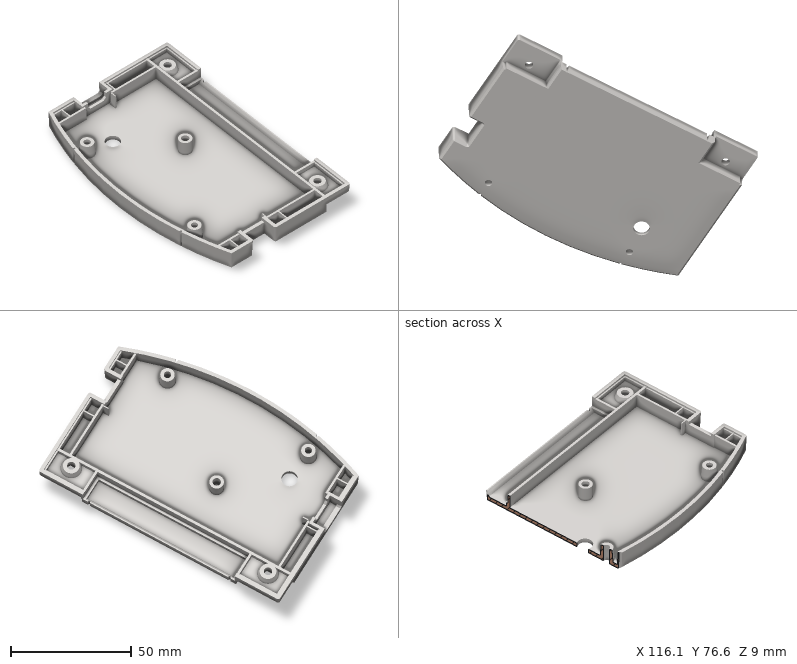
import cadquery as cq
import math

WIDTH = 116.1
DEPTH = 76.6
HEIGHT = 9.0
CORNER_Y = 10.9
DRAFT = 2
CORNER_RADIUS = 0.9
BOTTOM_CHAMFER = 0.8

FLOOR = 2.1
RIM_THICKNESS = 1.6
INNER_TOP = 8.5
LEDGE_WIDTH = 0.7
LEDGE_TOP = 8.2
RIGHT_NOTCH_X = 51.2
RIGHT_NOTCH_Y = (23.2, 35.0)
NOTCH_WALL_TOP = 7.4

SIDE_WALL_X = 50.4
SIDE_WALL_BASE = 1.4
CROSS_WALL_Y = (63.2, 64.3)
RIB_BASE = 1.0
LEFT_RIBS_Y = (41.5, 16.4)
RIGHT_RIBS_Y = (43.2, 16.4)
TAB_LENGTH = 2.5
TAB_THICKNESS = 0.9
LEFT_TAB_Y = 38.8
RIGHT_TAB_Y = 37.2

CORNER_FLOOR = 6.2
CORNER_CEILING = 5.1
CORNER_WALL = 1.0
RECESS_INNER_X = 37.2
RECESS_FLARE = 0.5
RECESS_FLARE_Z = (3.3, 4.4)
RECESS_SIDE_Y = 63.5

STRIP_TOP = 4.1
STRIP_HALF_WIDTH = 36.7
STRIP_POCKET_HALF_WIDTH = 35.5
STRIP_POCKET_Y = (65.4, 74.4)
STRIP_BACK_SLOPE = 0.7
STRIP_BACK_SLOPE_TOP = 3.1
STRIP_BACK_EDGE_Y = 75.9

LEFT_RECESS_Y = (24.8, 38.9)
LEFT_SILL_TOP = 3.5
LEFT_RECESS_X = 52.4
LEFT_RECESS_CHAMFER = 0.8
LEFT_SILL_THICKNESS = 2.3
LEFT_PARTITION = 1.3
LEFT_WINDOW_Y = (26.8, 36.7)
LEFT_WINDOW_SILL = 5.3
LEFT_WINDOW_CHAMFER = 1.3

FRONT_POST_X = 34.0
FRONT_POST_Y = 11.4
FRONT_POST_TOP = 8.2
FRONT_POST_BASE = 7.2
FRONT_POST_DIAMETER = 6.0
FRONT_POST_HOLE = 3.0
CORNER_BOSS_X = 47.5
CORNER_BOSS_Y = 67.6
CORNER_BOSS_TOP = 8.8
CORNER_BOSS_DIAMETER = 7
CORNER_BOSS_BASE = 9.0
CORNER_BOSS_HOLE = 3.5
PIN_CENTRE = (-8.5, 43.3)
PIN_DIAMETER = 6.0
PIN_HOLE = 3.5
PIN_TOP = 8.8
CABLE_HOLE_CENTRE = (-32.4, 24.2)
CABLE_HOLE_DIAMETER = 6.9

GROOVE_X = 33.9
GROOVE_WIDTH = 1.5
GROOVE_ROOT = 0.6
GROOVE_DEPTH = 0.9
GROOVE_OVERRUN = 1.2

HALF = WIDTH / 2
LEAN = math.tan(math.radians(DRAFT))
BOW_RADIUS = (HALF**2 + CORNER_Y**2) / (2 * CORNER_Y)


def bow_y(x):
    """Y of the bowed front at a given X."""
    return BOW_RADIUS - math.sqrt(BOW_RADIUS**2 - x**2)


def block(x_range, y_range, z_range):
    """Plain box between the given limits; the X limits may come in either order."""
    x0, x1 = sorted(x_range)
    y0, y1 = y_range
    z0, z1 = z_range
    return cq.Workplane("XY").box(x1 - x0, y1 - y0, z1 - z0, centered=False).translate((x0, y0, z0))


def drafted_wall(x_range, y_range, z_range):
    """Wall that is full size at its base and gets thinner upward."""
    x0, x1 = sorted(x_range)
    y0, y1 = y_range
    z0, z1 = z_range
    return (
        cq.Workplane("XY", origin=((x0 + x1) / 2, (y0 + y1) / 2, z0))
        .rect(x1 - x0, y1 - y0)
        .extrude(z1 - z0, taper=DRAFT)
    )


def post(centre, diameter, z_range):
    """Straight round post, also used for holes."""
    z0, z1 = z_range
    return cq.Workplane("XY", origin=(*centre, z0)).circle(diameter / 2).extrude(z1 - z0)


def cone_post(centre, base_diameter, top_diameter, z_range):
    """Round post that narrows from its base to its top."""
    z0, z1 = z_range
    return (
        cq.Workplane("XY", origin=(*centre, z0))
        .circle(base_diameter / 2)
        .workplane(offset=z1 - z0)
        .circle(top_diameter / 2)
        .loft()
    )


def drafted_tray(inset, depth):
    """Solid below the rim outline moved inward by the inset, narrowing downward from the top."""
    y0, y1 = RIGHT_NOTCH_Y
    rim = (
        cq.Workplane("XY")
        .moveTo(-HALF, CORNER_Y)
        .threePointArc((0, 0), (HALF, CORNER_Y))
        .lineTo(HALF, y0)
        .lineTo(RIGHT_NOTCH_X, y0)
        .lineTo(RIGHT_NOTCH_X, y1)
        .lineTo(HALF, y1)
        .lineTo(HALF, DEPTH)
        .lineTo(-HALF, DEPTH)
        .close()
    )
    if inset:
        rim = rim.offset2D(-inset, "intersection")
    return rim.extrude(depth, taper=DRAFT).mirror("XY").translate((0, 0, HEIGHT))


def outer_block():
    """Outside of the tray with rounded upright corners and a chamfered underside."""
    body = drafted_tray(0, HEIGHT)
    corners = [(-HALF, DEPTH), (HALF, DEPTH)] + [(HALF, y) for y in RIGHT_NOTCH_Y]
    for x, y in corners:
        low = (x - CORNER_RADIUS, y - CORNER_RADIUS, 0)
        high = (x + CORNER_RADIUS, y + CORNER_RADIUS, HEIGHT)
        near = cq.selectors.BoxSelector(low, high)
        body = body.edges(near).fillet(CORNER_RADIUS)
    return body.faces("<Z").edges().chamfer(BOTTOM_CHAMFER)


def interior():
    """Space inside the rim, down to the floor."""
    return drafted_tray(RIM_THICKNESS, HEIGHT - FLOOR)


def ledges():
    """Step just inside the rim along the back and both sides."""
    inset = RIM_THICKNESS + LEDGE_WIDTH
    z_range = (FLOOR, LEDGE_TOP)
    steps = block((-HALF, HALF), (DEPTH - inset, DEPTH), z_range)
    for side in (-1, 1):
        steps = steps.union(block((side * (HALF - inset), side * HALF), (0, DEPTH), z_range))
    return steps


def side_walls():
    """Cross wall, and walls along both sides of the main bay that stop at the connector opening."""
    z_range = (FLOOR, INNER_TOP)
    half_base = SIDE_WALL_BASE / 2
    opening_front, opening_back = LEFT_RECESS_Y
    wall_back = CROSS_WALL_Y[1]
    left_spans = ((0, opening_front), (opening_back, wall_back))
    right_spans = ((0, wall_back),)
    walls = block((-HALF, HALF), CROSS_WALL_Y, z_range)
    for side, spans in ((-1, left_spans), (1, right_spans)):
        wall_x = (side * (SIDE_WALL_X - half_base), side * (SIDE_WALL_X + half_base))
        for span in spans:
            walls = walls.union(drafted_wall(wall_x, span, z_range))
    return walls


def ribs_and_tabs():
    """Ribs across the side channels and short tabs into the main bay."""
    z_range = (FLOOR, INNER_TOP)
    tab_end = SIDE_WALL_X - SIDE_WALL_BASE / 2 - TAB_LENGTH
    plates = cq.Workplane("XY")
    for side, ribs, tab in ((-1, LEFT_RIBS_Y, LEFT_TAB_Y), (1, RIGHT_RIBS_Y, RIGHT_TAB_Y)):
        for y in ribs:
            rib_y = (y - RIB_BASE / 2, y + RIB_BASE / 2)
            plates = plates.add(drafted_wall((side * SIDE_WALL_X, side * HALF), rib_y, z_range))
        tab_y = (tab - TAB_THICKNESS / 2, tab + TAB_THICKNESS / 2)
        plates = plates.add(drafted_wall((side * tab_end, side * SIDE_WALL_X), tab_y, z_range))
    return plates.combine()


def connector_pad():
    """Solid pad that the connector opening is cut into."""
    y_range = (LEFT_RECESS_Y[0] - LEFT_PARTITION, LEFT_RECESS_Y[1] + LEFT_PARTITION)
    return block((-HALF, -LEFT_RECESS_X + LEFT_PARTITION), y_range, (FLOOR, HEIGHT))


def back_bay():
    """Raised corner floors, their end walls and the solid base of the low strip."""
    y_range = (CROSS_WALL_Y[1], DEPTH)
    bay = block((-STRIP_HALF_WIDTH, STRIP_HALF_WIDTH), y_range, (FLOOR, STRIP_TOP))
    for side in (-1, 1):
        bay = bay.union(block((side * STRIP_HALF_WIDTH, side * HALF), y_range, (FLOOR, CORNER_FLOOR)))
        end_x = (side * STRIP_HALF_WIDTH, side * (STRIP_HALF_WIDTH + CORNER_WALL))
        bay = bay.union(block(end_x, y_range, (FLOOR, INNER_TOP)))
    return bay


def cut_strip(body):
    """Lower the back between the corners and hollow it, with a back wall sloped in two stages."""
    y_range = (CROSS_WALL_Y[1], DEPTH)
    body = body.cut(block((-STRIP_HALF_WIDTH, STRIP_HALF_WIDTH), y_range, (STRIP_TOP, HEIGHT)))
    front, back = STRIP_POCKET_Y
    pocket = (
        cq.Workplane("YZ")
        .moveTo(front, FLOOR)
        .lineTo(back, FLOOR)
        .lineTo(back + STRIP_BACK_SLOPE, STRIP_BACK_SLOPE_TOP)
        .lineTo(STRIP_BACK_EDGE_Y, STRIP_TOP)
        .lineTo(front, STRIP_TOP)
        .close()
        .extrude(STRIP_POCKET_HALF_WIDTH, both=True)
    )
    return body.cut(pocket)


def cut_corner_recesses(body):
    """Open recess beneath each raised back corner."""
    front = CROSS_WALL_Y[1]
    flare_bottom, flare_top = RECESS_FLARE_Z
    recess = (
        cq.Workplane("XZ", origin=(0, DEPTH, 0))
        .moveTo(RECESS_INNER_X - BOTTOM_CHAMFER, 0)
        .lineTo(RECESS_INNER_X, BOTTOM_CHAMFER)
        .lineTo(RECESS_INNER_X, flare_bottom)
        .lineTo(RECESS_INNER_X + RECESS_FLARE, flare_top)
        .lineTo(RECESS_INNER_X + RECESS_FLARE, CORNER_CEILING)
        .lineTo(HALF, CORNER_CEILING)
        .lineTo(HALF, 0)
        .close()
        .extrude(DEPTH - front)
    )
    side_gap = block((HALF - RIM_THICKNESS, HALF), (RECESS_SIDE_Y, DEPTH), (0, CORNER_CEILING))
    recess = recess.union(side_gap)
    return body.cut(recess).cut(recess.mirror("YZ"))


def cut_left_opening(body):
    """Connector opening: a sill in the outer wall, a trough behind it and a window further in."""
    recess = block((-HALF, -LEFT_RECESS_X), LEFT_RECESS_Y, (LEFT_SILL_TOP, HEIGHT))
    recess = recess.faces("<Z").edges("|X").chamfer(LEFT_RECESS_CHAMFER)
    trough_x = (-HALF + LEFT_SILL_THICKNESS, -LEFT_RECESS_X)
    trough = block(trough_x, LEFT_RECESS_Y, (FLOOR, HEIGHT))
    window_x = (-LEFT_RECESS_X, -LEFT_RECESS_X + LEFT_PARTITION)
    window = block(window_x, LEFT_WINDOW_Y, (LEFT_WINDOW_SILL, HEIGHT))
    window = window.faces("<Z").edges("|X").chamfer(LEFT_WINDOW_CHAMFER)
    return body.cut(recess).cut(trough).cut(window)


def cut_right_notch_wall(body):
    """Lower the wall behind the right-hand notch."""
    x_range = (SIDE_WALL_X - SIDE_WALL_BASE, HALF)
    return body.cut(block(x_range, RIGHT_NOTCH_Y, (NOTCH_WALL_TOP, HEIGHT)))


def add_posts(body):
    """Front posts, corner bosses and the centre pin with their holes."""
    behind_cross_wall = block((-HALF, HALF), (CROSS_WALL_Y[1], DEPTH), (0, HEIGHT))
    for side in (-1, 1):
        front = (side * FRONT_POST_X, FRONT_POST_Y)
        front_z = (FLOOR, FRONT_POST_TOP)
        body = body.union(cone_post(front, FRONT_POST_BASE, FRONT_POST_DIAMETER, front_z))
        body = body.cut(post(front, FRONT_POST_HOLE, (0, HEIGHT)))
        corner = (side * CORNER_BOSS_X, CORNER_BOSS_Y)
        boss_z = (CORNER_FLOOR, CORNER_BOSS_TOP)
        boss = cone_post(corner, CORNER_BOSS_BASE, CORNER_BOSS_DIAMETER, boss_z)
        body = body.union(boss.intersect(behind_cross_wall))
        body = body.cut(post(corner, CORNER_BOSS_HOLE, (0, HEIGHT)))
    body = body.union(post(PIN_CENTRE, PIN_DIAMETER, (FLOOR, PIN_TOP)))
    body = body.cut(post(PIN_CENTRE, PIN_HOLE, (FLOOR, PIN_TOP)))
    return body.cut(post(CABLE_HOLE_CENTRE, CABLE_HOLE_DIAMETER, (0, FLOOR)))


def cut_grooves(body):
    """Grooves that follow the lean of the front and back faces."""
    for x in (-GROOVE_X, GROOVE_X):
        for face_y, inward in ((bow_y(x), 1), (DEPTH, -1)):
            top = (x, face_y - inward * GROOVE_OVERRUN * LEAN, HEIGHT + GROOVE_OVERRUN)
            along_face = cq.Plane(origin=top, xDir=(1, 0, 0), normal=(0, inward * LEAN, -1))
            root_y = -inward * GROOVE_DEPTH
            mouth_y = inward * GROOVE_DEPTH / 2
            groove = (
                cq.Workplane(along_face)
                .moveTo(-GROOVE_WIDTH / 2, mouth_y)
                .lineTo(-GROOVE_ROOT / 2, root_y)
                .lineTo(GROOVE_ROOT / 2, root_y)
                .lineTo(GROOVE_WIDTH / 2, mouth_y)
                .close()
                .extrude(HEIGHT + 2 * GROOVE_OVERRUN)
            )
            body = body.cut(groove)
    return body


bay = interior()
fittings = side_walls().union(ribs_and_tabs()).union(ledges()).union(connector_pad()).union(back_bay())
tray = outer_block().cut(bay).union(fittings.intersect(bay))
tray = cut_strip(tray)
tray = cut_corner_recesses(tray)
tray = cut_left_opening(tray)
tray = cut_right_notch_wall(tray)
tray = add_posts(tray)
result = cut_grooves(tray)